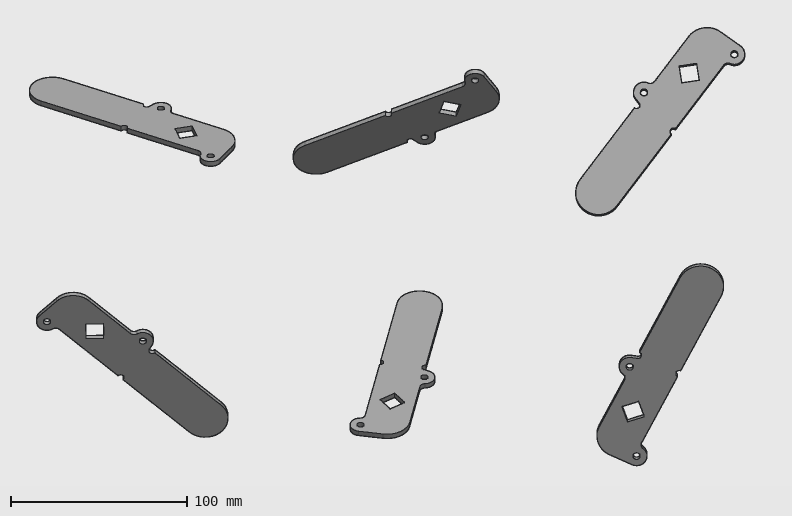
import cadquery as cq
import math

length = 130.0
width = 26.0
thickness = 3.2
half_width = width / 2

ear_radius = 6.0
ear_offset = 14.0
ear_hole_diameter = 4.0
ear_fillet = 3.0
upper_ear = (75.7, ear_offset)
lower_ear = (length - ear_radius, -ear_offset)

notch_x = 67.1
notch_radius = 2.0

window_x = 100.0
window_side = 10.0


def point_at(center, radius, angle):
    """Point on a circle, with the angle in radians."""
    return (center[0] + radius * math.cos(angle), center[1] + radius * math.sin(angle))


fillet_reach = ear_radius + ear_fillet
fillet_angle = math.asin((half_width + ear_fillet - ear_offset) / fillet_reach)
fillet_span = math.cos(fillet_angle) * fillet_reach
fillet_mid_angle = (fillet_angle + math.pi / 2) / 2

upper_fillet = (upper_ear[0] + fillet_span, half_width + ear_fillet)
lower_fillet = (lower_ear[0] - fillet_span, -half_width - ear_fillet)
upper_fillet_start = point_at(upper_ear, ear_radius, fillet_angle)
upper_fillet_middle = point_at(upper_fillet, ear_fillet, math.pi + fillet_mid_angle)
lower_fillet_middle = point_at(lower_fillet, ear_fillet, fillet_mid_angle)
lower_fillet_end = point_at(lower_ear, ear_radius, math.pi + fillet_angle)

upper_notch = (notch_x, half_width)
notch_to_ear_x = upper_ear[0] - notch_x
notch_to_ear_y = upper_ear[1] - half_width
notch_to_ear = math.hypot(notch_to_ear_x, notch_to_ear_y)
flank_angle = math.atan2(notch_to_ear_y, notch_to_ear_x) - math.acos(
    (notch_radius + ear_radius) / notch_to_ear
)
flank_bottom = point_at(upper_notch, notch_radius, flank_angle)
flank_top = point_at(upper_ear, ear_radius, flank_angle + math.pi)
notch_mid_angle = (flank_angle - math.pi) / 2

corner_center = (length - half_width, 0)

outline = (
    cq.Workplane("XY")
    .moveTo(half_width, -half_width)
    .threePointArc((0, 0), (half_width, half_width))
    .lineTo(notch_x - notch_radius, half_width)
    .threePointArc(point_at(upper_notch, notch_radius, notch_mid_angle), flank_bottom)
    .lineTo(*flank_top)
    .threePointArc((upper_ear[0], upper_ear[1] + ear_radius), upper_fillet_start)
    .threePointArc(upper_fillet_middle, (upper_fillet[0], half_width))
    .lineTo(length - half_width, half_width)
    .threePointArc(point_at(corner_center, half_width, math.pi / 4), (length, 0))
    .lineTo(length, lower_ear[1])
    .threePointArc((lower_ear[0], lower_ear[1] - ear_radius), lower_fillet_end)
    .threePointArc(lower_fillet_middle, (lower_fillet[0], -half_width))
    .lineTo(notch_x + notch_radius, -half_width)
    .threePointArc((notch_x, -half_width + notch_radius), (notch_x - notch_radius, -half_width))
    .close()
)
plate = outline.extrude(thickness)

ear_holes = (
    cq.Workplane("XY")
    .pushPoints([upper_ear, lower_ear])
    .circle(ear_hole_diameter / 2)
    .extrude(thickness)
)

window = (
    cq.Workplane("XY")
    .center(window_x, 0)
    .transformed(rotate=(0, 0, 45))
    .rect(window_side, window_side)
    .extrude(thickness)
)

result = plate.cut(ear_holes).cut(window)